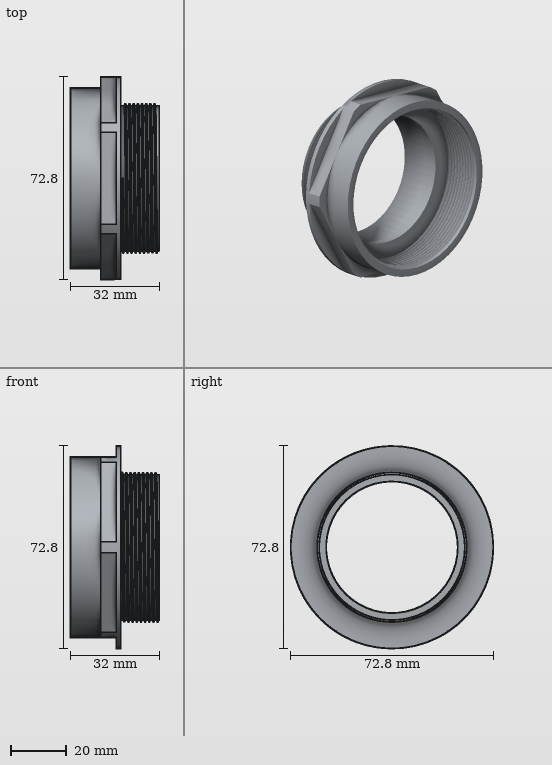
import cadquery as cq
import math

flange_diameter = 72.8
collar_diameter = 65.0
hex_across_flats = collar_diameter
spigot_diameter = 52.3
socket_diameter = 59.5
bore_diameter = 47.2

collar_end = 10.85
hex_end = 16.4
flange_end = 18.1
total_length = 32.0
socket_depth = 15.45

thread_pitch = 1.5
ridge_height = 0.7
ridge_base = 0.95
ridge_tip = 0.15
ridge_root_overlap = 0.15
spigot_thread_start = 18.6
spigot_thread_turns = 8.5
socket_thread_start = 0.6
socket_thread_turns = 9.5


def cylinder(diameter, start, end):
    """Solid cylinder on the X axis between two stations."""
    return cq.Workplane("YZ", origin=(start, 0, 0)).circle(diameter / 2).extrude(end - start)


def thread_ridge(wall_diameter, start, turns, outward, start_angle):
    """Helical ridge of trapezoidal section; start_angle turns its beginning about X from -Z."""
    wall_radius = wall_diameter / 2
    root_radius = wall_radius - outward * ridge_root_overlap
    tip_radius = wall_radius + outward * ridge_height
    section = cq.Workplane("XZ").polyline([
        (root_radius, -ridge_base / 2),
        (tip_radius, -ridge_tip / 2),
        (tip_radius, ridge_tip / 2),
        (root_radius, ridge_base / 2),
    ]).close()
    helix = cq.Wire.makeHelix(thread_pitch, turns * thread_pitch, wall_radius)
    ridge = section.sweep(cq.Workplane(obj=helix), isFrenet=True)
    ridge = ridge.rotate((0, 0, 0), (0, 1, 0), 90)
    return ridge.rotate((0, 0, 0), (1, 0, 0), start_angle).translate((start, 0, 0))


def hex_section():
    """Hexagon with flats facing +Z and -Z, its corners rounded to the flange diameter."""
    across_corners = hex_across_flats / math.cos(math.pi / 6)
    prism = (
        cq.Workplane("YZ", origin=(collar_end, 0, 0))
        .polygon(6, across_corners)
        .extrude(hex_end - collar_end)
    )
    return prism.intersect(cylinder(flange_diameter, collar_end, hex_end))


body = (
    cylinder(collar_diameter, 0, collar_end)
    .union(hex_section())
    .union(cylinder(flange_diameter, hex_end, flange_end))
    .union(cylinder(spigot_diameter, flange_end, total_length))
    .cut(cylinder(socket_diameter, 0, socket_depth))
    .cut(cylinder(bore_diameter, socket_depth, total_length))
)

spigot_thread = thread_ridge(
    spigot_diameter, spigot_thread_start, spigot_thread_turns, outward=1, start_angle=180
)
socket_thread = thread_ridge(
    socket_diameter, socket_thread_start, socket_thread_turns, outward=-1, start_angle=0
)

result = body.union(spigot_thread).union(socket_thread)